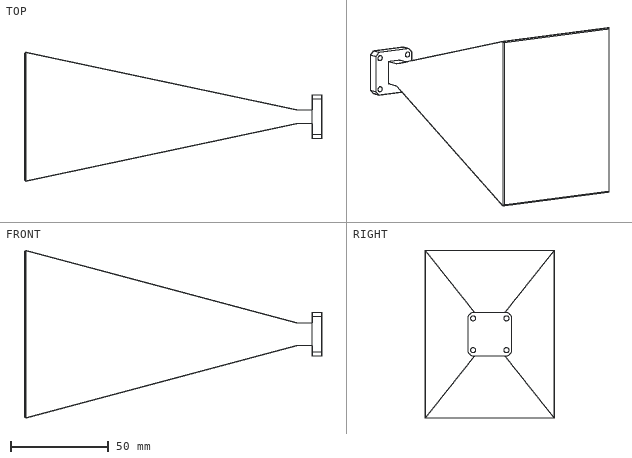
import cadquery as cq

total_length = 152.4
mouth_width = 66.1
mouth_height = 86.0
rim_bevel = 0.6

neck_length = 7.5
neck_width = 7.0
neck_height = 11.6

flange_thickness = 5.0
flange_size = 22.4
flange_chamfer = 2.0
hole_diameter = 2.6
hole_spacing_y = 17.0
hole_spacing_z = 16.3

flange_start = total_length - flange_thickness
neck_start = flange_start - neck_length


def frustum(start, end, start_size, end_size):
    """Rectangular solid tapering along X between two (Y, Z) sizes."""
    return (
        cq.Workplane("YZ", origin=(start, 0, 0))
        .rect(*start_size)
        .workplane(offset=end - start)
        .rect(*end_size)
        .loft(ruled=True, combine=True)
    )


def horn():
    mouth = (mouth_width, mouth_height)
    face = (mouth_width - 2 * rim_bevel, mouth_height - 2 * rim_bevel)
    rim = frustum(0, rim_bevel, face, mouth)
    body = frustum(rim_bevel, neck_start, mouth, (neck_width, neck_height))
    return rim.union(body)


def neck():
    return (
        cq.Workplane("YZ", origin=(neck_start, 0, 0))
        .rect(neck_width, neck_height)
        .extrude(neck_length)
    )


def flange():
    plate = (
        cq.Workplane("YZ", origin=(flange_start, 0, 0))
        .rect(flange_size, flange_size)
        .extrude(flange_thickness)
        .edges("|X")
        .chamfer(flange_chamfer)
    )
    return (
        plate.faces("<X")
        .workplane(centerOption="CenterOfBoundBox")
        .rect(hole_spacing_y, hole_spacing_z, forConstruction=True)
        .vertices()
        .hole(hole_diameter)
    )


result = horn().union(neck()).union(flange())